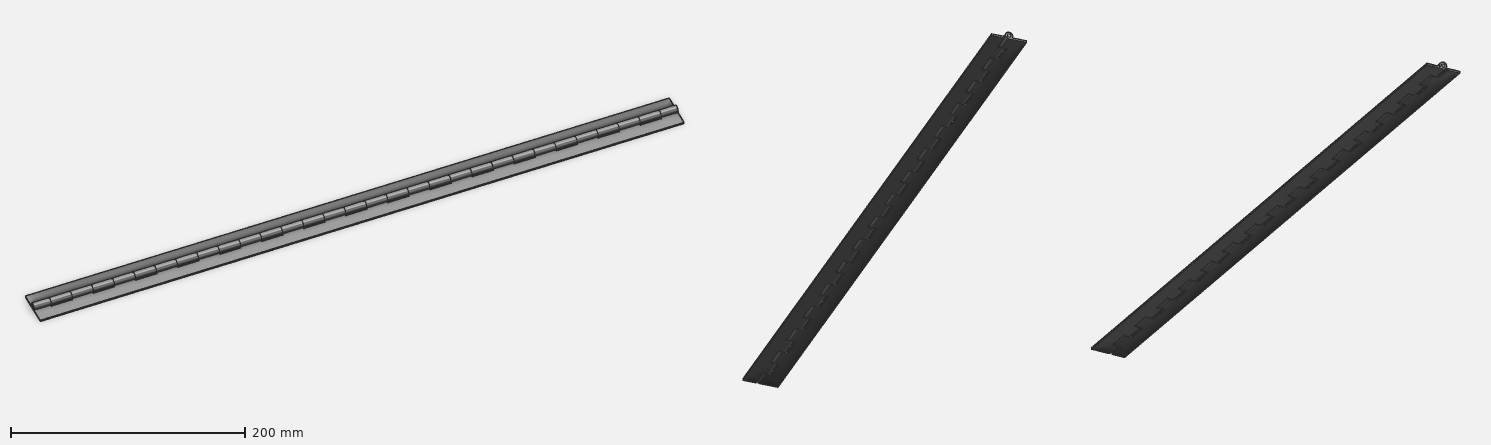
import cadquery as cq

hinge_length = 600.0
hinge_width = 32.0
leaf_thickness = 1.7

knuckle_diameter = 6.7
knuckle_radius = knuckle_diameter / 2
pin_diameter = knuckle_diameter - 2 * leaf_thickness
knuckle_pitch = 19.6
joint_count = 30
slot_half_width = 4.0

hinge_front = -hinge_length / 2
hinge_back = hinge_length / 2
first_joint = -(joint_count - 1) / 2 * knuckle_pitch
joints = [first_joint + i * knuckle_pitch for i in range(joint_count)]

stations = [hinge_front, *joints, hinge_back]
spans = list(zip(stations[:-1], stations[1:]))
right_spans = spans[0::2]
left_spans = spans[1::2]


def rod(diameter, y_start, y_end):
    """Solid cylinder on the pin axis."""
    section = cq.Workplane("XZ", origin=(0, y_start, knuckle_radius)).circle(diameter / 2)
    return section.extrude(y_start - y_end)


def strip(inner_x, outer_x, y_start, y_end):
    """Flat piece of leaf lying on the base plane."""
    plan = cq.Workplane("XY").moveTo(inner_x, y_start).lineTo(outer_x, y_start)
    plan = plan.lineTo(outer_x, y_end).lineTo(inner_x, y_end).close()
    return plan.extrude(leaf_thickness)


def make_leaf(side, knuckle_spans):
    """Leaf with its knuckles; side is +1 for the +X leaf and -1 for the -X leaf."""
    outer_edge = side * hinge_width / 2
    slot_edge = side * slot_half_width
    leaf = strip(slot_edge, outer_edge, hinge_front, hinge_back)
    for y_start, y_end in knuckle_spans:
        web = strip(0, slot_edge, y_start, y_end)
        leaf = leaf.union(web).union(rod(knuckle_diameter, y_start, y_end))
    return leaf.cut(rod(pin_diameter, hinge_front, hinge_back)).clean()


left_leaf = make_leaf(-1, left_spans)
right_leaf = make_leaf(1, right_spans)
pin = rod(pin_diameter, hinge_front, hinge_back)

result = cq.Compound.makeCompound([left_leaf.val(), right_leaf.val(), pin.val()])